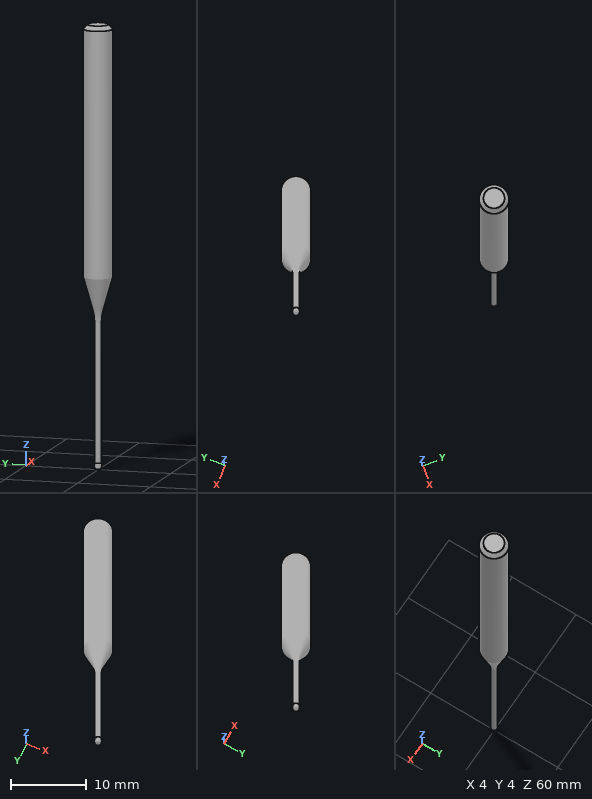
import cadquery as cq
import math

total_length = 60.0
shank_bottom = 26.0
neck_top = 19.8
head_length = 0.9

shank_radius = 6 / 3
shank_chamfer = 0.6

neck_radius = 0.485
blend_radius = 6.0

head_radius = 0.505
flare_length = 0.2
corner_radius = 0.3


def taper_angle():
    """Half angle of the cone that leaves the shank edge and is tangent to the blend arc."""
    axial = shank_bottom - neck_top
    centre_offset = neck_radius + blend_radius - shank_radius
    distance = math.hypot(axial, centre_offset)
    return math.asin(blend_radius / distance) - math.atan2(centre_offset, axial)


def arc_point(angle):
    """Point (radius, height) on the blend arc, with the angle measured from the neck."""
    return (
        neck_radius + blend_radius * (1 - math.cos(angle)),
        neck_top + blend_radius * math.sin(angle),
    )


def revolve_about_z(profile):
    """Revolve a closed profile (radius, height) about the Z axis."""
    return profile.close().revolve(360, (0, 0, 0), (0, 1, 0))


def make_holder():
    """Chamfered shank, taper, blend and slender neck."""
    angle = taper_angle()
    profile = (
        cq.Workplane("XZ")
        .moveTo(0, head_length)
        .lineTo(neck_radius, head_length)
        .lineTo(neck_radius, neck_top)
        .threePointArc(arc_point(angle / 2), arc_point(angle))
        .lineTo(shank_radius, shank_bottom)
        .lineTo(shank_radius, total_length - shank_chamfer)
        .lineTo(shank_radius - shank_chamfer, total_length)
        .lineTo(0, total_length)
    )
    return revolve_about_z(profile)


def make_cutting_head():
    """Cutting head that butts against the end of the neck."""
    flat_radius = head_radius - corner_radius
    corner_mid = corner_radius * math.sqrt(0.5)
    profile = (
        cq.Workplane("XZ")
        .lineTo(flat_radius, 0)
        .threePointArc(
            (flat_radius + corner_mid, corner_radius - corner_mid),
            (head_radius, corner_radius),
        )
        .lineTo(head_radius, head_length - flare_length)
        .lineTo(neck_radius, head_length)
        .lineTo(0, head_length)
    )
    return revolve_about_z(profile)


holder = make_holder()
cutting_head = make_cutting_head()

result = cq.Compound.makeCompound([holder.val(), cutting_head.val()])